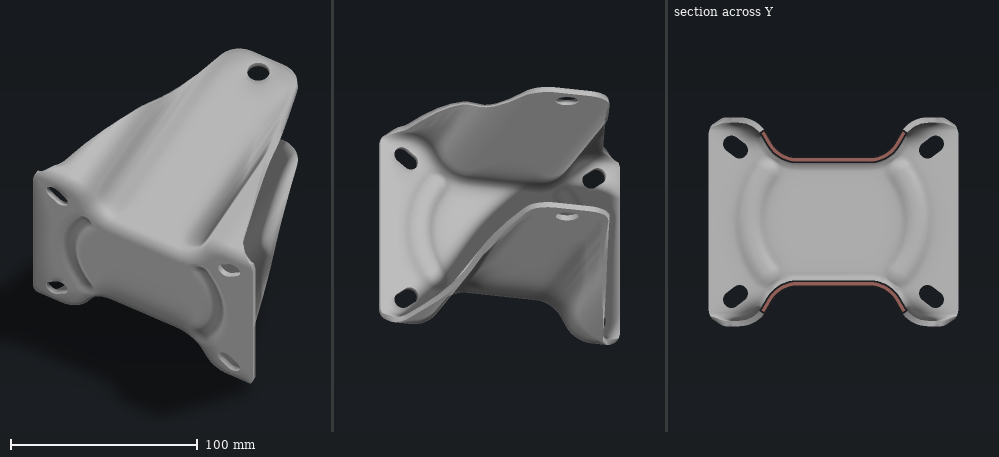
import cadquery as cq
import math


SHEET = 3.0
LENGTH_Y = 140.0
BASE_HALF_X = 134.0 / 2
BASE_HALF_Z = 112.0 / 2
BEND_OUTER = 7.0
BEND_INNER = BEND_OUTER - SHEET

NECK_HALF_X = 19.2
NECK_HALF_Z = 34.6
NECK_RADIUS = 16.0
CREST_X = 50.5
CREST_RADIUS = 17.0

FOOT_RISE = 0.3
FOOT_RADIUS = 13.0
CORNER_RADIUS = 9.8
LEG_TAPER = 14.8
TIP_RADIUS = 14.8
TIP_HALF_X = 9.5

AXLE_DIAMETER = 12.0
AXLE_Y = 129.4

SLOT_X = 52.5
SLOT_Z = 40.0
SLOT_WIDTH = 9.0
SLOT_TRAVEL = 5.5
SLOT_ANGLE = math.degrees(math.atan2(SLOT_Z, SLOT_X))

BEAD_PATH_RADIUS = 45.0
BEAD_HALF_ANGLE = SLOT_ANGLE
BEAD_HALF_WIDTH = 8.5
BEAD_FLOOR_HALF = 0.7
BEAD_LIP_RADIUS = 10.0
BEAD_FLOOR_RADIUS = 6.0

OVERSHOOT = 14.0


def polar(center, radius, angle_deg):
    """Point at a distance and direction from a centre."""
    angle = math.radians(angle_deg)
    return (center[0] + radius * math.cos(angle), center[1] + radius * math.sin(angle))


def quarter_core():
    """Space enclosed by the sheet in the quarter X > 0, Z > 0."""
    neck_center = (NECK_HALF_X, NECK_HALF_Z + NECK_RADIUS)
    crest_center = (CREST_X, BASE_HALF_Z - CREST_RADIUS)
    dx = CREST_X - NECK_HALF_X
    dz = neck_center[1] - crest_center[1]
    reach = math.asin((NECK_RADIUS + CREST_RADIUS) / math.hypot(dx, dz))
    slope = math.degrees(reach - math.atan2(dz, dx))

    hollow = NECK_RADIUS + SHEET
    crest = CREST_RADIUS - SHEET
    top = BASE_HALF_Z - SHEET
    depth = LENGTH_Y + OVERSHOOT
    return (
        cq.Workplane("XZ", origin=(0, SHEET, 0))
        .lineTo(0, NECK_HALF_Z - SHEET)
        .lineTo(NECK_HALF_X, NECK_HALF_Z - SHEET)
        .threePointArc(
            polar(neck_center, hollow, slope / 2 - 90),
            polar(neck_center, hollow, slope - 90),
        )
        .lineTo(*polar(crest_center, crest, slope + 90))
        .threePointArc(polar(crest_center, crest, slope / 2 + 90), (CREST_X, top))
        .lineTo(BASE_HALF_X, top)
        .lineTo(BASE_HALF_X, 0)
        .close()
        .extrude(-depth)
        .faces("<Y")
        .edges("not(<X or >X or <Z)")
        .fillet(BEND_INNER)
    )


def leg_trim():
    """Tapered leg profile (X > 0) drawn through the inner sheet surface, extruded along Z."""
    foot_y = SHEET + FOOT_RISE
    foot_center = (BASE_HALF_X, foot_y + FOOT_RADIUS)
    foot_end_angle = 180 + LEG_TAPER
    foot_end = polar(foot_center, FOOT_RADIUS, foot_end_angle)
    tip_center = (TIP_HALF_X, LENGTH_Y - TIP_RADIUS)
    return (
        cq.Workplane("XY")
        .lineTo(BASE_HALF_X, 0)
        .lineTo(BASE_HALF_X, foot_y)
        .threePointArc(polar(foot_center, FOOT_RADIUS, (270 + foot_end_angle) / 2), foot_end)
        .lineTo(*polar(tip_center, TIP_RADIUS, LEG_TAPER))
        .threePointArc(polar(tip_center, TIP_RADIUS, (90 + LEG_TAPER) / 2), (TIP_HALF_X, LENGTH_Y))
        .lineTo(0, LENGTH_Y)
        .close()
        .extrude(BASE_HALF_Z)
    )


def corner_limit():
    """Quarter block with the rounded plate corner."""
    return (
        cq.Workplane("XY")
        .box(BASE_HALF_X, LENGTH_Y, BASE_HALF_Z, centered=False)
        .edges(">X and >Z")
        .fillet(CORNER_RADIUS)
    )


def formed_sheet():
    """Trim the inner surface, thicken it outward along its normals and mirror the quarter."""
    trim = leg_trim().val()
    skin = quarter_core().faces("not(<X or >X or <Z or >Y)").vals()
    pieces = [face.intersect(trim).Faces()[0].thicken(SHEET) for face in skin]
    quarter = cq.Workplane(pieces[0].fuse(*pieces[1:])).intersect(corner_limit())
    half = quarter.union(quarter.mirror("YZ"))
    return half.union(half.mirror("XY")).clean()


def bead_half_section(center_x, lip_radius, floor_radius, face_y, back_y):
    """Open half section of a bead in the XY plane, from the middle of its floor down to back_y."""
    radius_sum = lip_radius + floor_radius
    run = BEAD_HALF_WIDTH - BEAD_FLOOR_HALF
    flank = math.degrees(math.asin(run / radius_sum))
    floor_y = face_y + radius_sum * (1 - math.cos(math.radians(flank)))
    floor_center = (BEAD_FLOOR_HALF, floor_y - floor_radius)
    lip_center = (BEAD_HALF_WIDTH, face_y + lip_radius)
    return (
        cq.Workplane("XY", origin=(center_x, 0, 0))
        .moveTo(0, floor_y)
        .lineTo(BEAD_FLOOR_HALF, floor_y)
        .threePointArc(
            polar(floor_center, floor_radius, 90 - flank / 2),
            polar(floor_center, floor_radius, 90 - flank),
        )
        .threePointArc(polar(lip_center, lip_radius, -90 - flank / 2), (BEAD_HALF_WIDTH, face_y))
        .lineTo(BEAD_HALF_WIDTH, back_y)
        .lineTo(0, back_y)
    )


def bead_body(lip_radius, floor_radius, face_y, back_y):
    """Arc-shaped bead at the +X end, with a round cap at each end of the arc."""
    section = (lip_radius, floor_radius, face_y, back_y)
    body = (
        bead_half_section(BEAD_PATH_RADIUS, *section)
        .mirrorY()
        .revolve(2 * BEAD_HALF_ANGLE, (-BEAD_PATH_RADIUS, 0), (-BEAD_PATH_RADIUS, 1))
        .rotate((0, 0, 0), (0, 1, 0), -BEAD_HALF_ANGLE)
    )
    cap = (
        bead_half_section(0, *section)
        .close()
        .revolve(180, (0, 0), (0, 1))
        .translate((BEAD_PATH_RADIUS, 0, 0))
        .rotate((0, 0, 0), (0, 1, 0), BEAD_HALF_ANGLE)
    )
    return body.union(cap).union(cap.mirror("XY"))


def add_beads(sheet):
    """Raise each bead on the inside of the plate and sink its groove into the outside."""
    ridge = bead_body(BEAD_LIP_RADIUS - SHEET, BEAD_FLOOR_RADIUS + SHEET, SHEET, SHEET / 2)
    groove = bead_body(BEAD_LIP_RADIUS, BEAD_FLOOR_RADIUS, 0, -SHEET)
    sheet = sheet.union(ridge).union(ridge.mirror("YZ"))
    return sheet.cut(groove).cut(groove.mirror("YZ"))


def cut_mounting_slots(sheet):
    """Four slots through the plate, each in line with the plate centre."""
    slot = (
        cq.Workplane("XZ", origin=(0, -OVERSHOOT, 0))
        .center(SLOT_X, SLOT_Z)
        .slot2D(SLOT_TRAVEL + SLOT_WIDTH, SLOT_WIDTH, SLOT_ANGLE)
        .extrude(-2 * OVERSHOOT)
    )
    pair = slot.union(slot.mirror("YZ"))
    return sheet.cut(pair).cut(pair.mirror("XY"))


def drill_axle(sheet):
    """Axle hole through both legs."""
    drill = (
        cq.Workplane("XY")
        .center(0, AXLE_Y)
        .circle(AXLE_DIAMETER / 2)
        .extrude(BASE_HALF_Z, both=True)
    )
    return sheet.cut(drill)


bracket = formed_sheet()
bracket = add_beads(bracket)
bracket = cut_mounting_slots(bracket)
bracket = drill_axle(bracket)
result = cq.Workplane(bracket.solids().val())